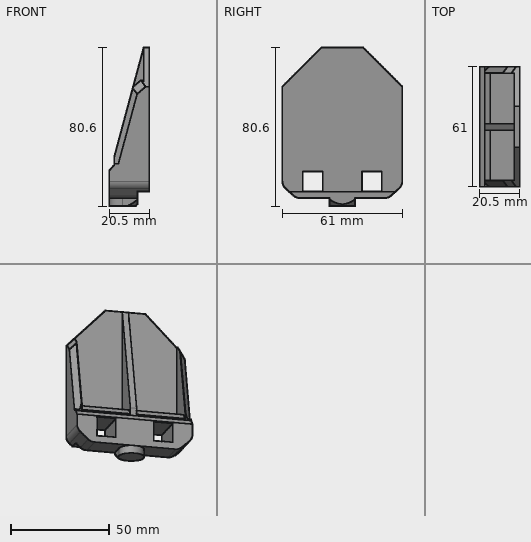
import cadquery as cq
import math

depth = 20.5
width = 61.0
height = 80.6
half_width = width / 2

plate_thickness = 3.0
plate_front = depth - plate_thickness
top_corner = 20.0
shoulder_z = height - top_corner
rib_thickness = 3.3
wall_inner = half_width - rib_thickness

base_bottom = 4.0
heel_front = 14.5
heel_bottom = 7.4
nose_top = 18.15
rib_front = 2.5
ledge_z = 20.8
slope_start_z = 24.9

corner_side_z = 10.5
corner_bottom_y = 23.4
corner_radius = 5.0

pocket_floor = 24.6
pocket_chamfer = 3.0

window = 10.0
window_spacing = 30.0
window_bottom = 7.6

tongue_radius = 6.5
tongue_lead_radius = 6.9

side_chamfer = 3.0
side_chamfer_bottom = 21.6
facet_inner = cq.Vector(16.1, wall_inner, shoulder_z + rib_thickness)
facet_outer = cq.Vector(18.55, half_width, shoulder_z)
facet_lower = cq.Vector(14.5, half_width, 57.25)
cutter_size = 24.2

slope_angle = math.atan2(plate_front - rib_front, height - slope_start_z)


def both_sides(solid):
    """Return the solid together with its mirror image across the XZ plane."""
    return solid.union(solid.mirror("XZ"))


def make_body():
    """Side profile, limited to the outline seen along X."""
    profile = (
        cq.Workplane("XZ")
        .polyline([
            (0, base_bottom),
            (heel_front, base_bottom),
            (heel_front, heel_bottom),
            (depth, heel_bottom),
            (depth, height),
            (plate_front, height),
            (rib_front, slope_start_z),
            (rib_front, ledge_z),
            (0, nose_top),
        ])
        .close()
        .extrude(half_width, both=True)
    )
    top_half_width = half_width - top_corner
    outline = (
        cq.Workplane("YZ")
        .polyline([
            (-corner_bottom_y, base_bottom),
            (corner_bottom_y, base_bottom),
            (half_width, corner_side_z),
            (half_width, shoulder_z),
            (top_half_width, height),
            (-top_half_width, height),
            (-half_width, shoulder_z),
            (-half_width, corner_side_z),
        ])
        .close()
        .extrude(depth)
    )
    below_corners = cq.selectors.BoxSelector(
        (-0.8, -width, 0), (depth + 0.8, width, corner_side_z + 0.8)
    )
    outline = outline.edges("|X").edges(below_corners).fillet(corner_radius)
    return profile.intersect(outline)


def make_pockets():
    """Open pockets between the center rib and the side ribs."""
    pocket = (
        cq.Workplane("XZ", origin=(0, wall_inner, 0))
        .polyline([
            (rib_front, pocket_floor - pocket_chamfer),
            (rib_front + pocket_chamfer, pocket_floor),
            (plate_front, pocket_floor),
            (plate_front, height),
            (rib_front, height),
        ])
        .close()
        .extrude(wall_inner - rib_thickness / 2)
    )
    return both_sides(pocket)


def make_side_chamfers():
    """Wedges that bevel the outer edges of the sloping side ribs."""
    setback = side_chamfer / math.cos(slope_angle)
    rise = height - side_chamfer_bottom
    bottom_x = rib_front - (slope_start_z - side_chamfer_bottom) * math.tan(slope_angle)
    wedge = (
        cq.Workplane("XY", origin=(bottom_x, half_width, side_chamfer_bottom))
        .polyline([(0, -side_chamfer), (setback, 0), (0, 0)])
        .close()
        .sweep(
            cq.Workplane("XZ", origin=(bottom_x, half_width, side_chamfer_bottom))
            .lineTo(rise * math.tan(slope_angle), rise)
        )
    )
    return both_sides(wedge)


def make_corner_facets():
    """Blocks that cut one oblique facet at the top of each side rib."""
    along = facet_outer - facet_lower
    normal = along.cross(facet_outer - facet_inner)
    facet = cq.Plane(origin=facet_outer.toTuple(), xDir=along.toTuple(), normal=normal.toTuple())
    return both_sides(cq.Workplane(facet).rect(cutter_size, cutter_size).extrude(cutter_size))


def make_windows():
    """Two square through windows."""
    return (
        cq.Workplane("YZ")
        .pushPoints([
            (side * window_spacing / 2, window_bottom + window / 2) for side in (-1, 1)
        ])
        .rect(window, window)
        .extrude(depth)
    )


def make_tongue():
    """Round-nosed tongue with a conical lead-in towards the heel."""
    tongue = (
        cq.Workplane("XY")
        .moveTo(heel_front, -tongue_radius)
        .lineTo(tongue_radius, -tongue_radius)
        .threePointArc((0, 0), (tongue_radius, tongue_radius))
        .lineTo(heel_front, tongue_radius)
        .close()
        .extrude(base_bottom)
    )
    lead_in = (
        cq.Workplane("XY", origin=(tongue_radius, 0, 0))
        .circle(tongue_lead_radius)
        .workplane(offset=base_bottom)
        .circle(tongue_lead_radius + base_bottom)
        .loft()
    )
    return tongue.intersect(lead_in)


result = (
    make_body()
    .cut(make_pockets())
    .cut(make_side_chamfers())
    .cut(make_corner_facets())
    .cut(make_windows())
    .union(make_tongue())
)